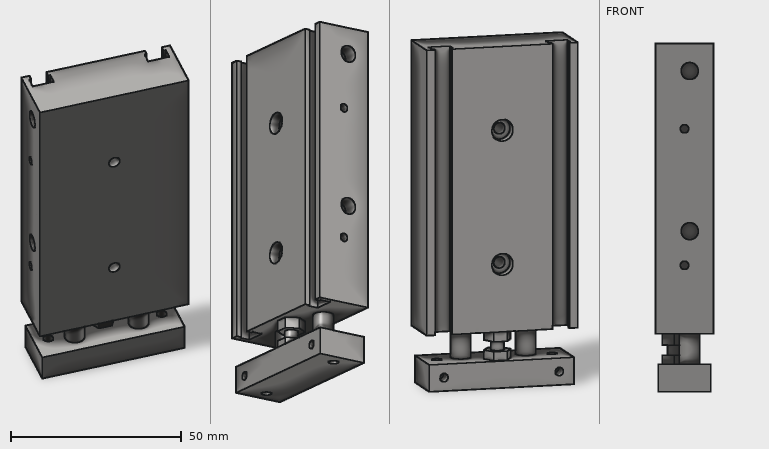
import cadquery as cq
import math

total_height = 102.0
plate_height = 8.1
stroke_gap = 8.9
housing_bottom = plate_height + stroke_gap

housing_x = 17.0
housing_y = 46.0
housing_height = total_height - housing_bottom
housing_left = -housing_x / 2
housing_front = -housing_y / 2

slot_y = 17.8
slot_mouth_width = 5.2
slot_neck_depth = 1.6
slot_inner_width = 6.5
slot_depth = 4.9

mount_lower_z = 37.0
mount_pitch = 40.0
mount_heights = [mount_lower_z, mount_lower_z + mount_pitch]
mount_diameter = 3.4
mount_counterbore_diameter = 6.4
mount_counterbore_depth = 3.3
side_hole_diameter = 2.4
side_hole_depth = 5.1

rod_x = 1.5
port_lower_z = 47.0
port_pitch = 46.9
port_heights = [port_lower_z, port_lower_z + port_pitch]
port_diameter = 5.0
port_depth = 5.1

plate_x = 15.5
plate_y = 44.1
plate_hole_y = 17.5
plate_vertical_hole_diameter = 3.0
plate_side_hole_diameter = 2.4
plate_side_hole_depth = 5.1
rod_diameter = 6.0
rod_y = 9.9

bolt_x = -3.1
shank_diameter = 4.0
hex_across_flats = 7.0
hex_across_corners = hex_across_flats / math.cos(math.radians(30))
nut_height = 2.7
head_height = 3.3


def box_between(x_min, x_length, y_center, y_length, z_min, z_length):
    """Box placed by its -X face, its middle in Y and its bottom."""
    corner = cq.Vector(x_min, y_center - y_length / 2, z_min)
    return cq.Workplane(cq.Solid.makeBox(x_length, y_length, z_length, corner))


def rod_along_x(diameter, x_min, length, y, z):
    start = cq.Vector(x_min, y, z)
    return cq.Workplane(cq.Solid.makeCylinder(diameter / 2, length, start, cq.Vector(1, 0, 0)))


def rod_along_y(diameter, x, y_min, length, z):
    start = cq.Vector(x, y_min, z)
    return cq.Workplane(cq.Solid.makeCylinder(diameter / 2, length, start, cq.Vector(0, 1, 0)))


def rod_along_z(diameter, x, y, z_min, length):
    start = cq.Vector(x, y, z_min)
    return cq.Workplane(cq.Solid.makeCylinder(diameter / 2, length, start))


def make_t_slot(y):
    mouth = box_between(housing_left, slot_depth, y, slot_mouth_width, housing_bottom, housing_height)
    inner = box_between(
        housing_left + slot_neck_depth, slot_depth - slot_neck_depth,
        y, slot_inner_width, housing_bottom, housing_height,
    )
    return mouth.union(inner)


def make_housing():
    body = box_between(housing_left, housing_x, 0, housing_y, housing_bottom, housing_height)
    for y in (-slot_y, slot_y):
        body = body.cut(make_t_slot(y))
    for z in mount_heights:
        body = body.cut(rod_along_x(mount_diameter, housing_left, housing_x, 0, z))
        body = body.cut(
            rod_along_x(mount_counterbore_diameter, housing_left, mount_counterbore_depth, 0, z)
        )
        body = body.cut(rod_along_y(side_hole_diameter, 0, housing_front, side_hole_depth, z))
    for z in port_heights:
        body = body.cut(rod_along_y(port_diameter, rod_x, housing_front, port_depth, z))
    return body


def make_plate_with_rods():
    body = box_between(-plate_x / 2, plate_x, 0, plate_y, 0, plate_height)
    for side in (-1, 1):
        hole_y = side * plate_hole_y
        body = body.cut(rod_along_z(plate_vertical_hole_diameter, 0, hole_y, 0, plate_height))
        body = body.cut(
            rod_along_x(
                plate_side_hole_diameter, -plate_x / 2, plate_side_hole_depth,
                hole_y, plate_height / 2,
            )
        )
        body = body.union(rod_along_z(rod_diameter, rod_x, side * rod_y, plate_height, stroke_gap))
    return body


def make_hexagon(z_min, height):
    """Hexagonal prism on the bolt axis, with corners pointing along +Y and -Y."""
    prism = cq.Workplane("XY").polygon(6, hex_across_corners).extrude(height)
    return prism.rotate((0, 0, 0), (0, 0, 1), 90).translate((bolt_x, 0, z_min))


def make_adjusting_bolt():
    shank = rod_along_z(shank_diameter, bolt_x, 0, plate_height, stroke_gap)
    nut = make_hexagon(plate_height, nut_height)
    head = make_hexagon(housing_bottom - head_height, head_height)
    return shank.union(nut).union(head)


housing = make_housing()
plate_with_rods = make_plate_with_rods()
adjusting_bolt = make_adjusting_bolt()

result = cq.Compound.makeCompound([housing.val(), plate_with_rods.val(), adjusting_bolt.val()])